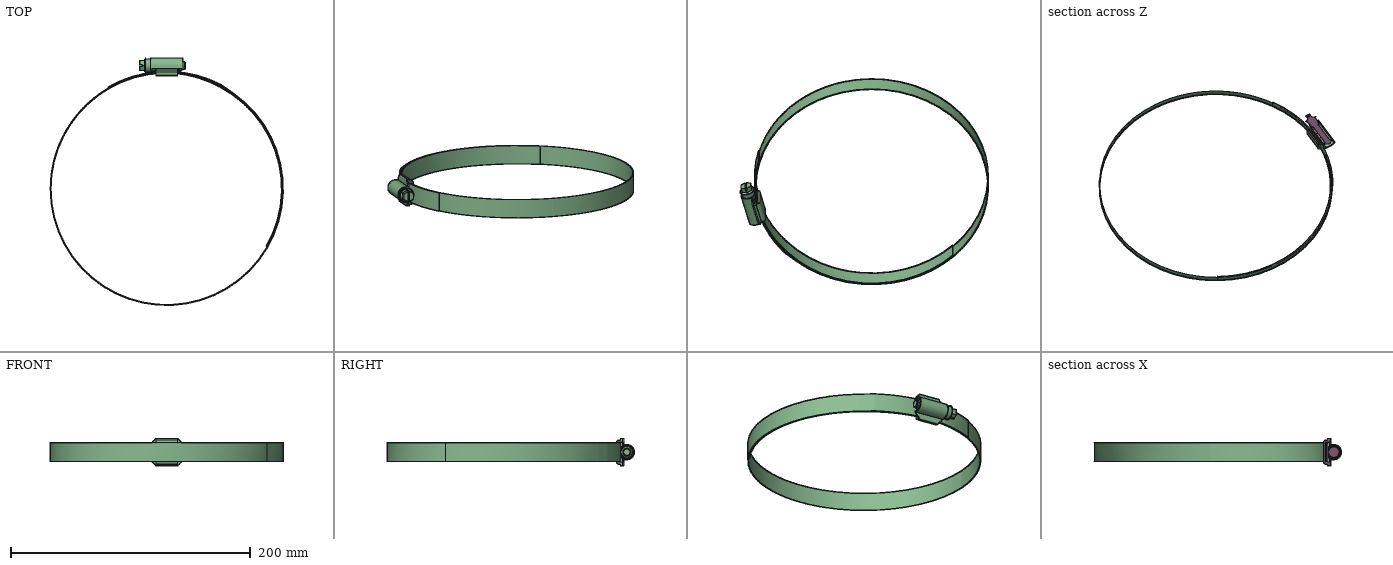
import cadquery as cq
import math


BAND_RADIUS = 97.2
BAND_THICKNESS = 0.76
LAYER_GAP = 0.1
BAND_WIDTH = 15.7
INNER_END_ANGLE = -30
OUTER_END_ANGLE = 120
INNER_RISE_START = 62.2
INNER_RISE_END = 86
OUTER_RISE_START = 55

AXIS_Y = 102.8
HEAD_X = -22.7
HEX_FLATS = 8.5
SLOT_WIDTH = 1.2
SLOT_DEPTH = 2.0
CONE_X = -18.8
CONE_RADIUS = 4.1
RIM_X = -17.7
RIM_RADIUS = 6.2
RIM_END_X = -17.5
COLLAR_RADIUS = 5.5
NECK_RADIUS = 5.2
THREAD_RADIUS = 4.5
THREAD_HALF_LENGTH = 9.5
NECK_END_X = 10.3
TIP_RADIUS = 3.3
TIP_START_X = 13.5
TIP_END_X = 15.5
TIP_CHAMFER = 0.6

DOME_RADIUS = 6.5
DOME_HALF_LENGTH = 13.5
DOME_WALL = 1.0
FLANGE_TOP_Y = 100.5
FLANGE_BOTTOM_Y = 99.3
FLANGE_HALF_SPAN = 11.45
FLANGE_TIP_HALF_LENGTH = 9.0
FLANGE_TAPER = 3.3
FLANGE_EDGE_RADIUS = 0.6

BRIDGE_HALF_LENGTH = 9.0
BRIDGE_BOTTOM_Y = 94.1
BRIDGE_FLOOR_Y = 95.8
BRIDGE_HALF_SPAN = 10.1
BRIDGE_CORNER = 2.0
CHANNEL_CLEARANCE = 0.2
LIP_BOTTOM_Y = 97.5


def polar(radius, angle):
    return (radius * math.cos(math.radians(angle)), radius * math.sin(math.radians(angle)))


def add_arc(path, radius, start, end):
    """Extend the path along a circle around the origin."""
    return path.threePointArc(polar(radius, (start + end) / 2), polar(radius, end))


def add_climb(path, start_radius, start, end_radius, end):
    """Extend the path along an arc that changes its distance from the origin evenly."""
    middle = polar((start_radius + end_radius) / 2, (start + end) / 2)
    return path.threePointArc(middle, polar(end_radius, end))


def make_band():
    pitch = BAND_THICKNESS + LAYER_GAP
    half_turn = 180
    inner_end = INNER_END_ANGLE
    outer_end = OUTER_END_ANGLE + 360
    outer_rise = OUTER_RISE_START + 360

    def tangent_end(radius):
        """Angle at which the tangent from the outer rise is one pitch outside the circle."""
        return outer_rise + math.degrees(math.acos(radius / (radius + pitch)))

    face = BAND_RADIUS
    rise_end = tangent_end(face)
    path = cq.Workplane("XY", origin=(0, 0, -BAND_WIDTH / 2)).moveTo(*polar(face - pitch, inner_end))
    path = add_arc(path, face - pitch, inner_end, INNER_RISE_START)
    path = add_climb(path, face - pitch, INNER_RISE_START, face, INNER_RISE_END)
    path = add_arc(path, face, INNER_RISE_END, half_turn)
    path = add_arc(path, face, half_turn, outer_rise)
    path = path.lineTo(*polar(face + pitch, rise_end))
    path = add_arc(path, face + pitch, rise_end, outer_end)

    face = BAND_RADIUS - BAND_THICKNESS
    rise_end = tangent_end(face)
    path = path.lineTo(*polar(face + pitch, outer_end))
    path = add_arc(path, face + pitch, outer_end, rise_end)
    path = path.lineTo(*polar(face, outer_rise))
    path = add_arc(path, face, outer_rise, half_turn)
    path = add_arc(path, face, half_turn, INNER_RISE_END)
    path = add_climb(path, face, INNER_RISE_END, face - pitch, INNER_RISE_START)
    path = add_arc(path, face - pitch, INNER_RISE_START, inner_end)
    return path.close().extrude(BAND_WIDTH, clean=False)


def make_screw():
    profile = [
        (CONE_X, 0),
        (CONE_X, CONE_RADIUS),
        (RIM_X, RIM_RADIUS),
        (RIM_END_X, RIM_RADIUS),
        (RIM_END_X, COLLAR_RADIUS),
        (-DOME_HALF_LENGTH, COLLAR_RADIUS),
        (-DOME_HALF_LENGTH, NECK_RADIUS),
        (-THREAD_HALF_LENGTH, NECK_RADIUS),
        (-THREAD_HALF_LENGTH, THREAD_RADIUS),
        (THREAD_HALF_LENGTH, THREAD_RADIUS),
        (THREAD_HALF_LENGTH, NECK_RADIUS),
        (NECK_END_X, NECK_RADIUS),
        (TIP_START_X, TIP_RADIUS),
        (TIP_END_X - TIP_CHAMFER, TIP_RADIUS),
        (TIP_END_X, TIP_RADIUS - TIP_CHAMFER),
        (TIP_END_X, 0),
    ]
    shaft = (
        cq.Workplane("XZ", origin=(0, AXIS_Y, 0))
        .polyline(profile)
        .close()
        .revolve(360, (0, 0), (1, 0))
    )

    head = (
        cq.Workplane("YZ", origin=(HEAD_X, AXIS_Y, 0))
        .transformed(rotate=(0, 0, 30))
        .polygon(6, HEX_FLATS / math.cos(math.radians(30)))
        .extrude(RIM_X - HEAD_X)
    )
    slot = (
        cq.Workplane("YZ", origin=(HEAD_X, AXIS_Y, 0))
        .rect(SLOT_WIDTH, 2 * HEX_FLATS)
        .extrude(SLOT_DEPTH)
    )
    return shaft.union(head.cut(slot))


def make_arch(radius):
    """Half-round bar over the screw axis with straight legs down to the flange underside."""
    return (
        cq.Workplane("YZ", origin=(-DOME_HALF_LENGTH, 0, 0))
        .moveTo(FLANGE_BOTTOM_Y, -radius)
        .lineTo(AXIS_Y, -radius)
        .threePointArc((AXIS_Y + radius, 0), (AXIS_Y, radius))
        .lineTo(FLANGE_BOTTOM_Y, radius)
        .close()
        .extrude(2 * DOME_HALF_LENGTH)
    )


def make_housing():
    plate = (
        cq.Workplane("XZ", origin=(0, FLANGE_TOP_Y, 0))
        .rect(2 * (FLANGE_TIP_HALF_LENGTH + FLANGE_TAPER), 2 * FLANGE_HALF_SPAN)
        .extrude(FLANGE_TOP_Y - FLANGE_BOTTOM_Y)
        .edges("|Y")
        .chamfer(FLANGE_TAPER)
        .faces(">Y")
        .edges("<Z or >Z")
        .fillet(FLANGE_EDGE_RADIUS)
    )

    tunnel = make_arch(DOME_RADIUS - DOME_WALL)
    return make_arch(DOME_RADIUS).union(plate).cut(tunnel)


def make_bridge():
    length = 2 * BRIDGE_HALF_LENGTH

    def block(bottom, top, half_span):
        return cq.Workplane("XY").box(length, top - bottom, 2 * half_span).translate(
            (0, (bottom + top) / 2, 0)
        )

    body = block(BRIDGE_BOTTOM_Y, FLANGE_BOTTOM_Y, BRIDGE_HALF_SPAN)
    body = body.edges("|X and <Y").fillet(BRIDGE_CORNER)
    lips = block(LIP_BOTTOM_Y, FLANGE_BOTTOM_Y, FLANGE_HALF_SPAN)
    channel = block(BRIDGE_FLOOR_Y, FLANGE_BOTTOM_Y, BAND_WIDTH / 2 + CHANNEL_CLEARANCE)
    return body.union(lips).cut(channel)


band = make_band()
screw = make_screw()
housing = make_housing()
bridge = make_bridge()

result = cq.Compound.makeCompound([band.val(), screw.val(), housing.val(), bridge.val()])